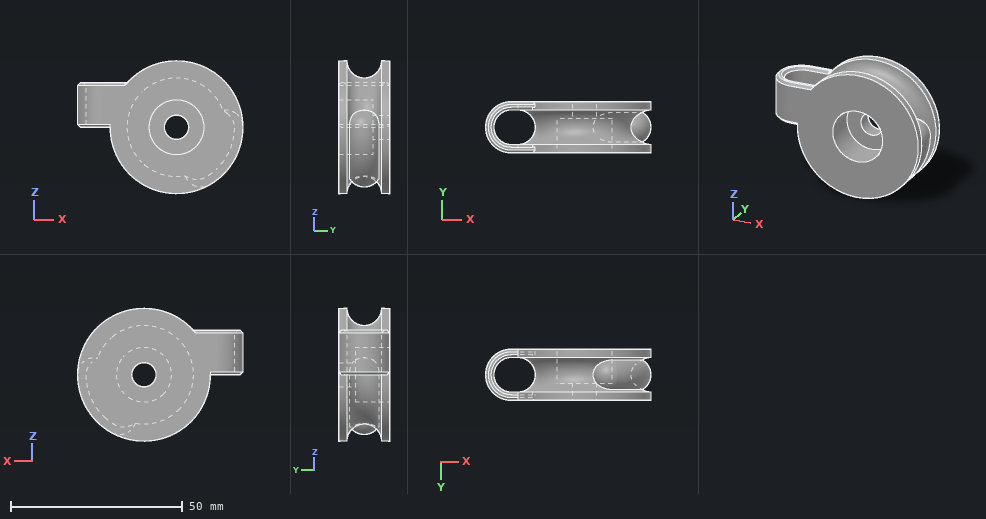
import cadquery as cq
import math

wheel_radius = 19.4
wheel_width = 15.0
groove_radius = 5.0
flange_width = wheel_width / 2 - groove_radius

wide_bore_diameter = 16.0
wide_bore_depth = 10.0
through_bore_diameter = 7.0

total_length = 48.3
strap_height = 13.0
strap_outer_radius = wheel_width / 2
strap_inner_radius = strap_outer_radius - flange_width
strap_bend_x = wheel_radius + strap_outer_radius - total_length
strap_chamfer = flange_width / 3

stop_radius = groove_radius
stop_path_radius = wheel_radius - stop_radius
stop_sweep_angle = 60.0


def cylinder_on_axis(diameter, length):
    """Cylinder around the Y axis that starts on the -Y face of the wheel."""
    start = (0, -wheel_width / 2, 0)
    return cq.Workplane("XZ", origin=start).circle(diameter / 2).extrude(-length)


def make_wheel():
    disc = cylinder_on_axis(2 * wheel_radius, wheel_width)
    groove = cq.Solid.makeTorus(wheel_radius, groove_radius, cq.Vector(0, 0, 0), cq.Vector(0, 1, 0))
    return disc.cut(cq.Workplane(groove))


def rounded_block(radius):
    """Block from the wheel axis to the strap bend, closed there by a half cylinder."""
    return (
        cq.Workplane("XY")
        .moveTo(0, radius)
        .lineTo(strap_bend_x, radius)
        .threePointArc((strap_bend_x - radius, 0), (strap_bend_x, -radius))
        .lineTo(0, -radius)
        .close()
        .extrude(strap_height)
    )


def make_strap():
    """Strap whose legs run on inside the flanges as far as the wheel axis."""
    return rounded_block(strap_outer_radius).cut(rounded_block(strap_inner_radius))


def chamfer_strap(body):
    """Bevel the long inner and outer edges of the strap, top and bottom."""
    straight_and_bend_edges = "|X or (|Z and %CIRCLE)"
    return body.edges(straight_and_bend_edges).chamfer(strap_chamfer)


def cut_bores(body):
    wide_bore = cylinder_on_axis(wide_bore_diameter, wide_bore_depth)
    through_bore = cylinder_on_axis(through_bore_diameter, wheel_width)
    return body.cut(wide_bore).cut(through_bore)


def stop_end(angle):
    """Ball that rounds the end of the stop bar at an angle from +X toward -Z."""
    x = stop_path_radius * math.cos(math.radians(angle))
    z = -stop_path_radius * math.sin(math.radians(angle))
    return cq.Workplane("XY").sphere(stop_radius).translate((x, 0, z))


def make_stop_bar():
    """Round bar bent around the wheel axis, with a ball at each end."""
    axis_start = (-stop_path_radius, 0)
    axis_end = (-stop_path_radius, 1)
    bent_bar = (
        cq.Workplane("XY", origin=(stop_path_radius, 0, 0))
        .circle(stop_radius)
        .revolve(stop_sweep_angle, axis_start, axis_end)
    )
    return bent_bar.union(stop_end(0)).union(stop_end(stop_sweep_angle))


pulley = chamfer_strap(make_wheel().union(make_strap()))
result = cut_bores(pulley).union(make_stop_bar())